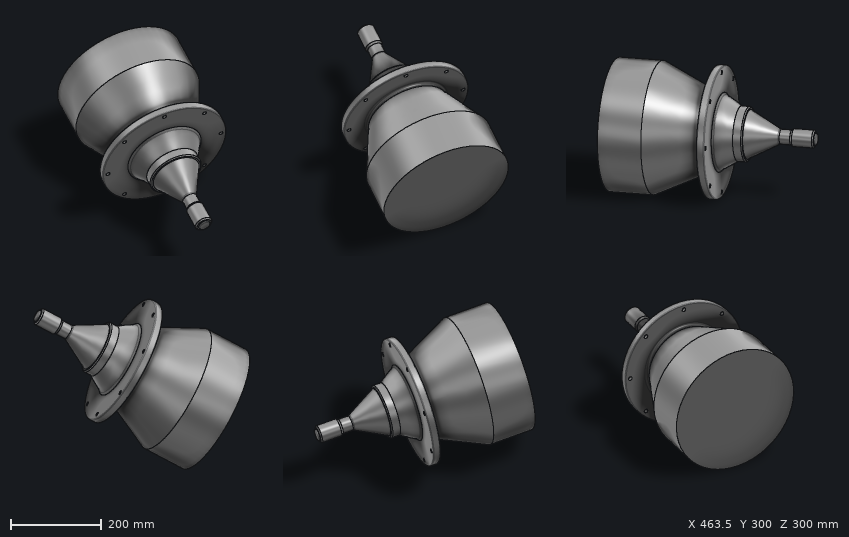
import cadquery as cq

length = 463.5
drum_diameter = 300.0
drum_length = 100.0
drum_radius = drum_diameter / 2

rear_cone_end = 219.0
groove_radius = 94.0
flange_start = 227.5
groove_fillet = 6.0

flange_thickness = 17.5
flange_end = flange_start + flange_thickness
flange_radius = drum_radius
rim_fillet = 2.0

flare_start_radius = 89.0
flare_end = 249.5
flare_end_radius = 84.5
collar_start = 287.0
collar_radius = 62.0
collar_length = 21.5
collar_end = collar_start + collar_length
collar_chamfer = 3.0

front_cone_radius = 55.5
front_cone_end = 379.0
front_cone_end_radius = 18.0
neck_start = 381.5
neck_radius = 17.0
neck_end = 405.7

head_start = 411.0
head_radius = 20.5
head_end = 460.0
head_chamfer = 3.2
button_radius = 13.5
button_fillet = 1.5

hole_count = 8
hole_circle_radius = 137.3
hole_diameter = 9.0


def make_body():
    """Revolve the half outline, drawn as (X, radius), around the X axis."""
    outline = (
        cq.Workplane("XZ")
        .moveTo(0, 0)
        .lineTo(0, drum_radius)
        .lineTo(drum_length, drum_radius)
        .lineTo(rear_cone_end, groove_radius)
        .lineTo(flange_start - groove_fillet, groove_radius)
        .tangentArcPoint((flange_start, groove_radius + groove_fillet), relative=False)
        .lineTo(flange_start, flange_radius - rim_fillet)
        .tangentArcPoint((flange_start + rim_fillet, flange_radius), relative=False)
        .lineTo(flange_end - rim_fillet, flange_radius)
        .tangentArcPoint((flange_end, flange_radius - rim_fillet), relative=False)
        .lineTo(flange_end, flare_start_radius)
        .lineTo(flare_end, flare_end_radius)
        .lineTo(collar_start, collar_radius)
        .lineTo(collar_end - collar_chamfer, collar_radius)
        .lineTo(collar_end, collar_radius - collar_chamfer)
        .lineTo(collar_end, front_cone_radius)
        .lineTo(front_cone_end, front_cone_end_radius)
        .lineTo(neck_start, neck_radius)
        .lineTo(neck_end, neck_radius)
        .lineTo(head_start, head_radius)
        .lineTo(head_end - head_chamfer, head_radius)
        .lineTo(head_end, head_radius - head_chamfer)
        .lineTo(head_end, button_radius)
        .lineTo(length - button_fillet, button_radius)
        .tangentArcPoint((length, button_radius - button_fillet), relative=False)
        .lineTo(length, 0)
        .close()
    )
    return outline.revolve(360, (0, 0, 0), (1, 0, 0))


def make_bolt_holes():
    """Cylinders through the flange, evenly spaced from the +Y direction."""
    return (
        cq.Workplane("YZ", origin=(flange_start, 0, 0))
        .polarArray(hole_circle_radius, 0, 360, hole_count)
        .circle(hole_diameter / 2)
        .extrude(flange_thickness)
    )


result = make_body().cut(make_bolt_holes())